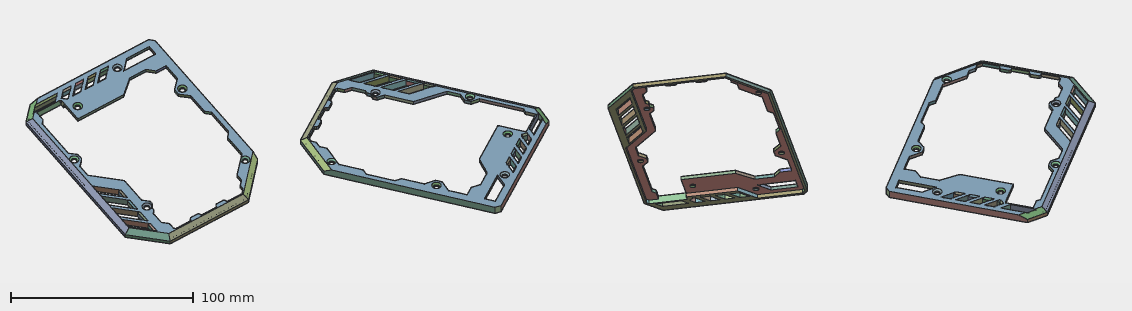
import cadquery as cq
import math

length = 123.0
width = 90.0
height = 4.4
right = length / 2
left = -right
back = width / 2
front = -back

plate_thickness = 2.1
rim_width = 1.4
plate_bottom = height - plate_thickness

back_left_cut = 2.6
back_right_cut_x = 20.9
back_right_cut_y = 20.4
front_right_cut = 17.7
front_left_cut = 8.9

bevel_drop = 2.1
bevel_width = 3.6
back_right_bevel_width = 3.2
bevel_overrun = 6.2

opening_left = -53.4
opening_right = 57.2
opening_front = -39.1
shelf_left_y = -21.2
shelf_right_x = -37.0
shelf_corner = 0.6
back_edge_y = 40.0
back_step_y = 39.1
back_notch_y = 42.0
front_shelf_y = -24.7

tab_reach = 1.8
tab_length = 6.6
tab_corner = 0.9
tab_centers_y = (9.8, -7.1)

screw_diameter = 3.2
countersink_diameter = 5.2
countersink_angle = 90.0
screw_centers = [
    (-22.4, 38.1),
    (38.5, 38.1),
    (-54.6, 17.1),
    (-44.5, -16.1),
    (-14.5, -39.0),
    (35.4, -25.0),
]

vent_slope_rise = 1.0
vent_slope_run = 1.0
vent_wall = 1.0

column_left = -58.4
column_right = -51.9
column_start = 44.6
column_pitch = 8.2
column_slot = 5.3
column_count = 4
last_slot_cut = 33.6
long_vent_start = 78.6
long_vent_end = 93.2
long_vent_right = -54.2

row_back = -30.1
row_front = front + bevel_width
row_front_slope_run = 0.5
row_start = 48.0
row_end = 82.8
first_bar = 54.2
bar_width = 2.5
bar_pitch = 10.0
bar_count = 3

window_left = -57.2
window_right = -50.9
window_front = 18.7


def prism(points, bottom=0.0, top=height):
    """Upright prism between two levels."""
    return cq.Workplane("XY").workplane(offset=bottom).polyline(points).close().extrude(top - bottom)


def along_edge(start, end, section, overrun=0.0):
    """Sweep a section (distance to the right of the edge, level) from start to end."""
    run_x = end[0] - start[0]
    run_y = end[1] - start[1]
    run = math.hypot(run_x, run_y)
    step_x = run_x / run
    step_y = run_y / run
    plane = cq.Plane(
        origin=(start[0] - overrun * step_x, start[1] - overrun * step_y, 0),
        xDir=(step_y, -step_x, 0),
        normal=(-step_x, -step_y, 0),
    )
    return cq.Workplane(plane).polyline(section).close().extrude(-(run + 2 * overrun))


def vent(points, slope_runs):
    """Cutter for a vent, listed clockwise; slope_runs maps flared edges to their run."""
    cutter = prism(points)
    for index, run in slope_runs.items():
        ramp = [(0, 0), (run, 0), (run, height - vent_slope_rise), (0, height)]
        start = points[index]
        end = points[(index + 1) % len(points)]
        cutter = cutter.cut(along_edge(start, end, ramp, overrun=run))
    return cutter


outline = [
    (left, back - back_left_cut),
    (left + back_left_cut, back),
    (right - back_right_cut_x, back),
    (right, back - back_right_cut_y),
    (right, front + front_right_cut),
    (right - front_right_cut, front),
    (left + front_left_cut, front),
    (left, front + front_left_cut),
]

opening = [
    (-40.8, back_edge_y),
    (-30.0, back_edge_y),
    (-24.4, 34.2),
    (-20.4, 34.2),
    (-15.7, back_step_y),
    (-2.5, back_step_y),
    (0.4, back_notch_y),
    (17.0, back_notch_y),
    (19.8, back_step_y),
    (34.0, back_step_y),
    (44.6, 28.4),
    (49.1, 28.4),
    (51.9, 25.6),
    (54.7, 25.6),
    (opening_right, 23.1),
    (opening_right, -20.5),
    (56.2, -21.5),
    (52.3, -21.5),
    (49.1, front_shelf_y),
    (41.2, front_shelf_y),
    (39.6, -23.1),
    (37.4, -23.1),
    (35.7, -21.4),
    (33.3, -21.4),
    (30.0, front_shelf_y),
    (13.3, front_shelf_y),
    (-1.1, opening_front),
    (-9.0, opening_front),
    (-12.7, -35.3),
    (-16.4, -35.3),
    (-19.9, opening_front),
    (-45.5, opening_front),
    (-47.4, -37.1),
    (opening_left, -37.1),
    (opening_left, shelf_left_y - shelf_corner),
    (opening_left + shelf_corner, shelf_left_y),
    (shelf_right_x, shelf_left_y),
    (shelf_right_x, 9.2),
    (-44.9, 18.6),
    (-44.9, 29.4),
    (-40.8, 33.3),
]


def column_vents():
    """Cutters for the left column: the repeated slots and the long vent in front of them."""
    cutters = []
    for index in range(column_count):
        back_sum = -(column_start + index * column_pitch)
        front_sum = back_sum - column_slot
        back_left_point = (column_left, back_sum - column_left)
        back_right_point = (column_right, back_sum - column_right)
        front_right_point = (column_right, front_sum - column_right)
        front_left_point = (column_left, front_sum - column_left)
        if index < column_count - 1:
            corners = [back_left_point, back_right_point, front_right_point, front_left_point]
            cutters.append(vent(corners, {1: vent_slope_run, 3: vent_slope_run}))
        else:
            cut_start = (column_right, column_right + last_slot_cut)
            cut_end_x = (front_sum - last_slot_cut) / 2
            cut_end = (cut_end_x, cut_end_x + last_slot_cut)
            corners = [back_left_point, back_right_point, cut_start, cut_end, front_left_point]
            cutters.append(vent(corners, {1: vent_slope_run, 2: vent_slope_run, 4: vent_slope_run}))
    long_vent = [
        (column_left, -long_vent_start - column_left),
        (long_vent_right, -long_vent_start - long_vent_right),
        (long_vent_right, -long_vent_end - long_vent_right),
        (column_left, -long_vent_end - column_left),
    ]
    cutters.append(vent(long_vent, {3: vent_slope_run}))
    return cutters


def row_vents():
    """Cutters for the front row: one wide slanted opening split by equal bars."""
    cutters = []
    start = row_start
    for index in range(bar_count + 1):
        bar = first_bar + index * bar_pitch
        end = bar if index < bar_count else row_end
        corners = [
            (start + row_back, row_back),
            (end + row_back, row_back),
            (end + row_front, row_front),
            (start + row_front, row_front),
        ]
        cutters.append(vent(corners, {0: vent_slope_run, 2: row_front_slope_run}))
        start = bar + bar_width
    return cutters


def vent_walls():
    """Full-height blocks that surround the two groups of vents."""
    slanted_wall = vent_wall * math.sqrt(2)
    column_top = slanted_wall - column_start
    wall_right = column_right + vent_wall
    column_block = prism([
        (left, column_top - left),
        (wall_right, column_top - wall_right),
        (wall_right, shelf_left_y),
        (opening_left, shelf_left_y),
        (opening_left, front),
        (left, front),
    ])
    wall_back = row_back + vent_wall
    row_block_start = row_start - slanted_wall
    row_block = prism([
        (row_block_start + wall_back, wall_back),
        (right, wall_back),
        (right, front),
        (row_block_start + front, front),
    ])
    return column_block.union(row_block)


def clip_tab(center_y):
    """Small tab with cut corners on the right side of the opening."""
    tip = opening_right - tab_reach
    half = tab_length / 2
    root = opening_right + rim_width
    return prism([
        (root, center_y + half),
        (tip + tab_corner, center_y + half),
        (tip, center_y + half - tab_corner),
        (tip, center_y - half + tab_corner),
        (tip + tab_corner, center_y - half),
        (root, center_y - half),
    ], plate_bottom)


def bevel(start, end, band):
    """Material above the sloping band along one outline edge."""
    section = [(0, height - bevel_drop), (band, height), (0, height)]
    return along_edge(start, end, section, overrun=bevel_overrun)


blank = prism(outline)
hollow = cq.Workplane("XY").polyline(outline).close().offset2D(-rim_width).extrude(plate_bottom)
body = blank.cut(hollow)
body = body.union(vent_walls().intersect(blank))

body = body.cut(prism(opening))
for tab_y in tab_centers_y:
    body = body.union(clip_tab(tab_y))

window = [
    (window_left, back_edge_y),
    (window_right, back_edge_y),
    (window_right, window_front),
    (window_left, window_front + window_right - window_left),
]
body = body.cut(prism(window))
for cutter in column_vents() + row_vents():
    body = body.cut(cutter)

body = body.cut(bevel(outline[2], outline[3], back_right_bevel_width))
for index in range(3, 7):
    body = body.cut(bevel(outline[index], outline[index + 1], bevel_width))

result = (
    body.faces(">Z").workplane(origin=(0, 0, height))
    .pushPoints(screw_centers)
    .cskHole(screw_diameter, countersink_diameter, countersink_angle)
)